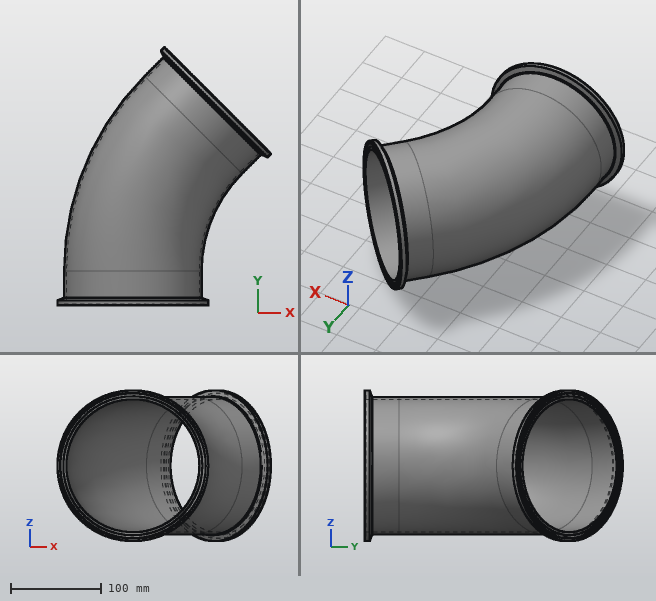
import cadquery as cq
import math

overall_length = 285.5
bend_angle = 45.0
tube_diameter = 152.5
bore_diameter = 147.0
flange_diameter = 167.0
ferrule_length = 38.0
rim_thickness = 5.5
bevel_angle = 20.0
root_fillet = 1.0

groove_mid_diameter = 157.0
groove_width = 3.5
groove_depth = 1.5
groove_lip_fillet = 0.5

tube_radius = tube_diameter / 2
bore_radius = bore_diameter / 2
flange_radius = flange_diameter / 2
groove_radius = groove_mid_diameter / 2
bevel_top = rim_thickness + (flange_radius - tube_radius) * math.tan(math.radians(bevel_angle))

sin_bend = math.sin(math.radians(bend_angle))
cos_bend = math.cos(math.radians(bend_angle))
straight_reach = ferrule_length * (1 + cos_bend) + flange_radius * sin_bend
bend_radius = (overall_length - straight_reach) / sin_bend


def make_ferrule():
    """Flanged tube end along +Y, with its end face on the XZ plane."""
    body = (
        cq.Workplane("XY")
        .moveTo(bore_radius, 0)
        .lineTo(groove_radius - groove_width / 2, 0)
        .threePointArc((groove_radius, groove_depth), (groove_radius + groove_width / 2, 0))
        .lineTo(flange_radius, 0)
        .lineTo(flange_radius, rim_thickness)
        .lineTo(tube_radius, bevel_top)
        .lineTo(tube_radius, ferrule_length)
        .lineTo(bore_radius, ferrule_length)
        .close()
        .revolve(360, (0, 0, 0), (0, 1, 0))
    )
    lips = [
        edge
        for edge in body.faces("<Y").edges("%CIRCLE").vals()
        if abs(edge.radius() - groove_radius) < groove_width
    ]
    body = body.newObject(lips).fillet(groove_lip_fillet)
    root_edge = cq.selectors.BoxSelector(
        (-flange_radius, bevel_top - root_fillet / 4, -flange_radius),
        (flange_radius, bevel_top + root_fillet / 4, flange_radius),
    )
    return body.edges(root_edge).fillet(root_fillet)


def make_bend():
    """Hollow 45 degree bend toward +X, starting at the end of the first ferrule."""
    return (
        cq.Workplane("XZ", origin=(0, ferrule_length, 0))
        .circle(tube_radius)
        .circle(bore_radius)
        .revolve(bend_angle, (bend_radius, 2.9, 0), (bend_radius, -2.9, 0))
    )


first_ferrule = make_ferrule()
bend_centre = (bend_radius, ferrule_length, 0)
half_bend = math.radians(bend_angle / 2)
middle_normal = (math.sin(half_bend), math.cos(half_bend), 0)
second_ferrule = first_ferrule.mirror(middle_normal, bend_centre)

result = make_bend().union(first_ferrule).union(second_ferrule)